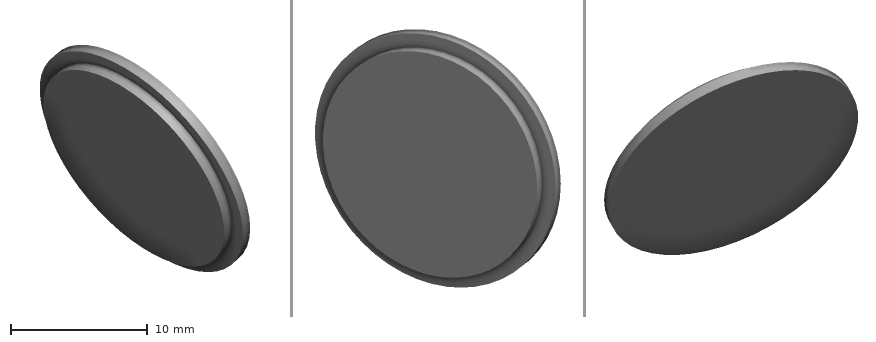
import cadquery as cq

flange_diameter = 20.0
boss_diameter = 17.8
total_thickness = 1.6
flange_thickness = total_thickness / 2
boss_thickness = total_thickness - flange_thickness

flange = cq.Workplane("XZ").circle(flange_diameter / 2).extrude(flange_thickness)

result = (
    flange.faces("<Y")
    .workplane()
    .circle(boss_diameter / 2)
    .extrude(boss_thickness)
)